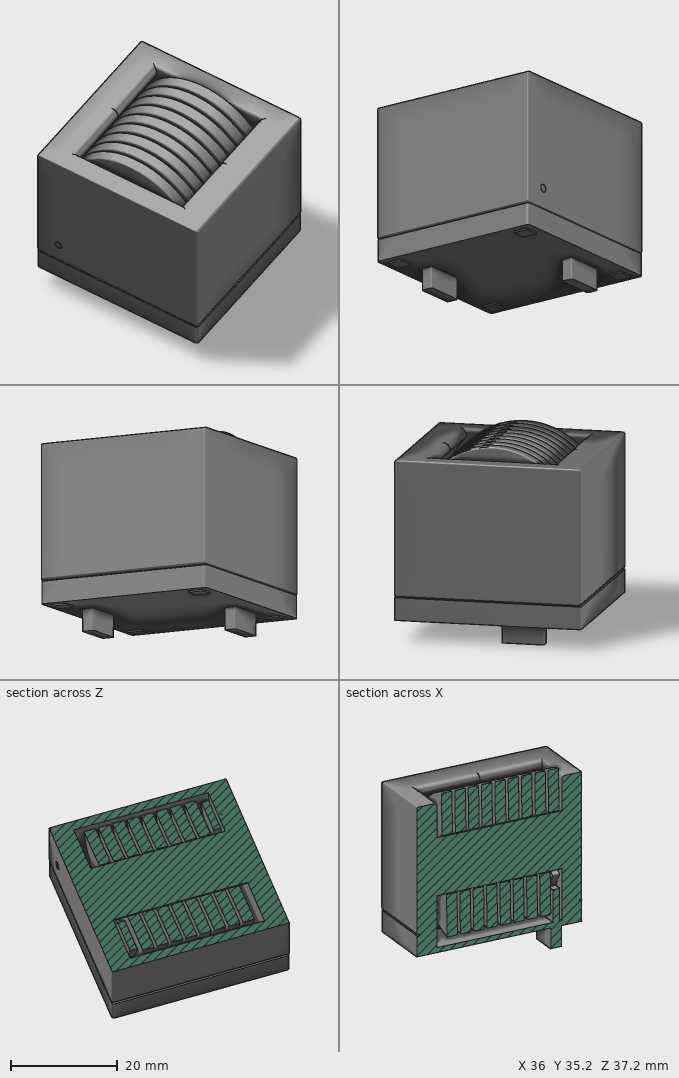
import cadquery as cq
import math

LENGTH_X = 36.0
WIDTH_Y = 35.2

BASE_HEIGHT = 4.35
SEAT_HEIGHT = 0.2
CORE_BOTTOM = BASE_HEIGHT + SEAT_HEIGHT
CORE_TOP = 30.6
COIL_Z = (CORE_BOTTOM + CORE_TOP) / 2

SIDE_EDGE_RADIUS = 0.5
FACE_EDGE_RADIUS = 0.25
WINDOW_X = 23.05
WINDOW_Y = 26.55
RIM_RADIUS_LARGE = 1.38
RIM_RADIUS_SMALL = 1.23
RIM_RADIUS_Y = 0.7
POST_DIAMETER = 14.4
CAVITY_CLEARANCE = 0.9
POST_EMBEDDING = 0.37

BASE_CORNER_RADIUS = 0.52
BASE_FLOOR = 1.1
SEAT_INSET = 0.52

WIRE_WIDTH = 8.1
WIRE_THICKNESS = 2.35
WIRE_CORNER_RADIUS = 0.3
COIL_TOP = 32.95
COIL_RADIUS = COIL_TOP - COIL_Z
WIRE_PATH_RADIUS = COIL_RADIUS - WIRE_WIDTH / 2
HALF_TURNS = 17
COIL_LENGTH = 24.15
PITCH = 2 * COIL_LENGTH / HALF_TURNS
LEAD_Y = COIL_LENGTH / 2

LEAD_BEND = 60
LINK_WIDTH = 6.7
LINK_THICKNESS = 1.5

PIN_X = 5.73
PIN_LENGTH = 4.25
FOOT_SIZE = 3.0
FOOT_HEIGHT = 0.3
FOOT_INSET = 3.0

MARK_DIAMETER = 1.52
MARK_DEPTH = 0.07
MARK_X = -13.28
MARK_Z = 8.5


def box(size_x, size_y, z_bottom, z_top):
    """Upright block centred on the Z axis."""
    block = cq.Workplane("XY").box(size_x, size_y, z_top - z_bottom, centered=(True, True, False))
    return block.translate((0, 0, z_bottom))


def cylinder_along_y(diameter, length):
    """Cylinder on the coil axis, centred on Y = 0."""
    return cq.Workplane("XZ", origin=(0, 0, COIL_Z)).circle(diameter / 2).extrude(length / 2, both=True)


def half_turn(shape):
    """Copy turned by 180 degrees about the Z axis."""
    return shape.rotate((0, 0, 0), (0, 0, 1), 180)


def flared_bar(width, left_rim, right_rim, length):
    """Upright bar along Y, flaring at the top of the core as two rounded rims."""
    half = width / 2
    return (
        cq.Workplane("XZ")
        .moveTo(-half, CORE_BOTTOM)
        .lineTo(-half, CORE_TOP - left_rim)
        .radiusArc((-half - left_rim, CORE_TOP), -left_rim)
        .lineTo(half + right_rim, CORE_TOP)
        .radiusArc((half, CORE_TOP - right_rim), -right_rim)
        .lineTo(half, CORE_BOTTOM)
        .close()
        .extrude(length / 2, both=True)
    )


def window():
    """Opening through the core; its rims swap their radii between the front and back halves."""
    across_x = flared_bar(WINDOW_X, RIM_RADIUS_LARGE, RIM_RADIUS_SMALL, WIDTH_Y)
    across_y = flared_bar(WINDOW_Y, RIM_RADIUS_Y, RIM_RADIUS_Y, LENGTH_X).rotate((0, 0, 0), (0, 0, 1), 90)
    back_space = box(LENGTH_X, WIDTH_Y, CORE_BOTTOM, CORE_TOP).translate((0, WIDTH_Y / 2, 0))
    back = across_x.intersect(across_y).intersect(back_space)
    return back.union(half_turn(back))


def core():
    """Rounded block with the coil cavity, the window and the central post."""
    block = box(LENGTH_X, WIDTH_Y, CORE_BOTTOM, CORE_TOP)
    block = block.edges("|Y").fillet(SIDE_EDGE_RADIUS)
    block = block.faces("<Y or >Y").edges().fillet(FACE_EDGE_RADIUS)
    block = block.cut(cylinder_along_y(2 * (COIL_RADIUS + CAVITY_CLEARANCE), WINDOW_Y)).cut(window())
    block = block.union(cylinder_along_y(POST_DIAMETER, WINDOW_Y + 2 * POST_EMBEDDING))
    mark = (
        cq.Workplane("XZ", origin=(MARK_X, -WIDTH_Y / 2 + MARK_DEPTH, MARK_Z))
        .circle(MARK_DIAMETER / 2)
        .extrude(2 * MARK_DEPTH)
    )
    return block.cut(mark)


def base():
    """Plate with rounded corners, a raised seat, a coil pocket and four square feet."""
    plate = box(LENGTH_X, WIDTH_Y, 0, BASE_HEIGHT).edges("|Z").fillet(BASE_CORNER_RADIUS)
    seat = box(LENGTH_X - 2 * SEAT_INSET, WIDTH_Y - 2 * SEAT_INSET, BASE_HEIGHT, CORE_BOTTOM)
    plate = plate.union(seat).cut(box(WINDOW_X, WINDOW_Y, BASE_FLOOR, CORE_BOTTOM))
    feet = (
        cq.Workplane("XY")
        .rect(LENGTH_X - 2 * FOOT_INSET, WIDTH_Y - 2 * FOOT_INSET, forConstruction=True)
        .vertices()
        .rect(FOOT_SIZE, FOOT_SIZE)
        .extrude(-FOOT_HEIGHT)
    )
    return plate.union(feet)


def wire_section():
    """Rounded rectangle of the flat wire, wide side first."""
    return cq.Sketch().rect(WIRE_WIDTH, WIRE_THICKNESS).vertices().fillet(WIRE_CORNER_RADIUS)


def helix_path():
    """Left-handed helix along Z, joined from half turns."""
    rise = PITCH / 2
    first = cq.Wire.makeHelix(PITCH, rise, WIRE_PATH_RADIUS, lefthand=True)
    edges = []
    for index in range(HALF_TURNS):
        turned = first.rotate(cq.Vector(0, 0, 0), cq.Vector(0, 0, 1), 180 * index)
        edges.append(turned.translate(cq.Vector(0, 0, rise * index)).Edges()[0])
    return cq.Wire.assembleEdges(edges)


def winding():
    """Flat wire wound along Y, starting at the +X side near the front wall."""
    helix = (
        cq.Workplane("XZ", origin=(WIRE_PATH_RADIUS, 0, 0))
        .placeSketch(wire_section())
        .sweep(cq.Workplane(obj=helix_path()), isFrenet=True)
    )
    return helix.rotate((0, 0, 0), (1, 0, 0), -90).translate((0, -LEAD_Y, COIL_Z))


def lead():
    """Front wire end: a flat link from the +X side of the coil down to a straight pin."""
    bend = (
        cq.Workplane("XY", origin=(WIRE_PATH_RADIUS, -LEAD_Y, COIL_Z))
        .rect(LINK_WIDTH, LINK_THICKNESS)
        .revolve(LEAD_BEND, (-WIRE_PATH_RADIUS, 0, 0), (-WIRE_PATH_RADIUS, 1, 0))
    )
    bend_end_z = COIL_Z - WIRE_PATH_RADIUS * math.sin(math.radians(LEAD_BEND))
    drop = box(LINK_WIDTH, LINK_THICKNESS, 0, bend_end_z).translate((PIN_X, -LEAD_Y, 0))
    pin = (
        cq.Workplane("XY", origin=(PIN_X, -LEAD_Y, -PIN_LENGTH))
        .placeSketch(wire_section())
        .extrude(PIN_LENGTH + BASE_FLOOR)
    )
    return bend.union(drop).union(pin)


front_lead = lead()
housing = core().union(base()).union(front_lead).union(half_turn(front_lead))
result = housing.union(winding())